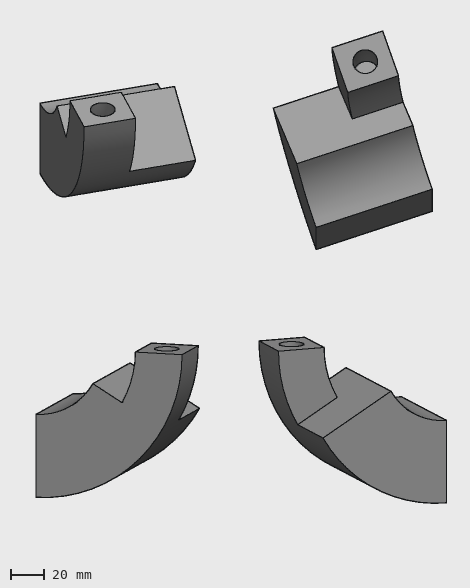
import cadquery as cq
import math

outer_radius = 91.3
wide_inner_radius = 41.1
narrow_inner_radius = 62.1
wide_length = 73.0
narrow_length = 31.9
joint_angle = 30.0
quarter_turn = 90.0

hole_diameter = 14.6
hole_sweep_angle = 13.0
hole_path_radius = (outer_radius + narrow_inner_radius) / 2
hole_y = narrow_length / 2

ring_center_z = outer_radius


def ring_point(radius, angle):
    """Point in XZ on a circle about the ring axis, angle measured below horizontal."""
    radians = math.radians(angle)
    return (radius * math.cos(radians), ring_center_z - radius * math.sin(radians))


def ring_sector(inner_radius, start_angle, end_angle, length):
    """Ring sector extruded from Y = 0 toward +Y."""
    middle_angle = (start_angle + end_angle) / 2
    return (
        cq.Workplane("XZ")
        .moveTo(*ring_point(inner_radius, start_angle))
        .lineTo(*ring_point(outer_radius, start_angle))
        .threePointArc(ring_point(outer_radius, middle_angle), ring_point(outer_radius, end_angle))
        .lineTo(*ring_point(inner_radius, end_angle))
        .threePointArc(ring_point(inner_radius, middle_angle), ring_point(inner_radius, start_angle))
        .close()
        .extrude(-length)
    )


def curved_hole():
    """Round bore revolved about the ring axis from the top face downward."""
    return (
        cq.Workplane("XY", origin=(0, 0, ring_center_z))
        .center(hole_path_radius, hole_y)
        .circle(hole_diameter / 2)
        .revolve(hole_sweep_angle, (-hole_path_radius, 0), (-hole_path_radius, 1))
    )


wide_sector = ring_sector(wide_inner_radius, joint_angle, quarter_turn, wide_length)
narrow_sector = ring_sector(narrow_inner_radius, 0, joint_angle, narrow_length)

result = wide_sector.union(narrow_sector).cut(curved_hole())